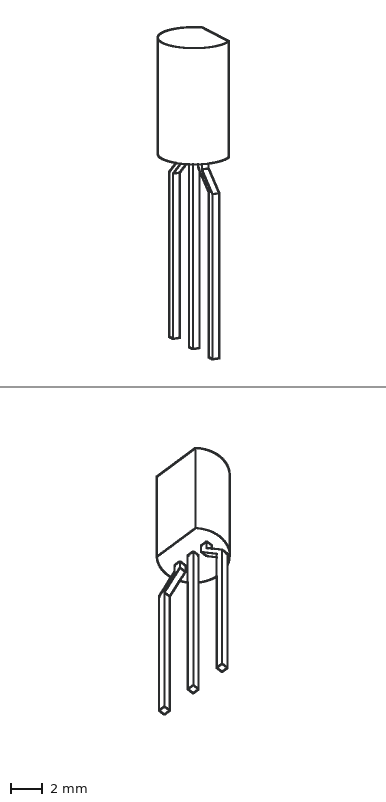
import cadquery as cq
import math

total_height = 20.32
body_height = 7.62
body_radius = 2.3
body_depth = 3.82
flat_y = body_depth - body_radius

lead_width = 0.49
lead_length = total_height - body_height
exit_pitch = 1.18
tip_pitch = 2.55
bend_top = 0.6
bend_bottom = 1.87



def make_body():
    """Round body with one flat along its +Y side."""
    flat_half_width = math.sqrt(body_radius**2 - flat_y**2)
    return (
        cq.Workplane("XY")
        .moveTo(-flat_half_width, flat_y)
        .threePointArc((0, -body_radius), (flat_half_width, flat_y))
        .close()
        .extrude(body_height)
    )


def make_lead(exit_x, tip_x):
    """Lead that leaves the body at exit_x and is bent over to tip_x."""
    half = lead_width / 2
    centerline = [
        (exit_x, 0),
        (exit_x, -bend_top),
        (tip_x, -bend_bottom),
        (tip_x, -lead_length),
    ]
    left_edge = [(x - half, z) for x, z in centerline]
    right_edge = [(x + half, z) for x, z in reversed(centerline)]
    return (
        cq.Workplane("XZ")
        .polyline(left_edge + right_edge)
        .close()
        .extrude(half, both=True)
    )


result = make_body()
for side in (-1, 0, 1):
    result = result.union(make_lead(side * exit_pitch, side * tip_pitch))